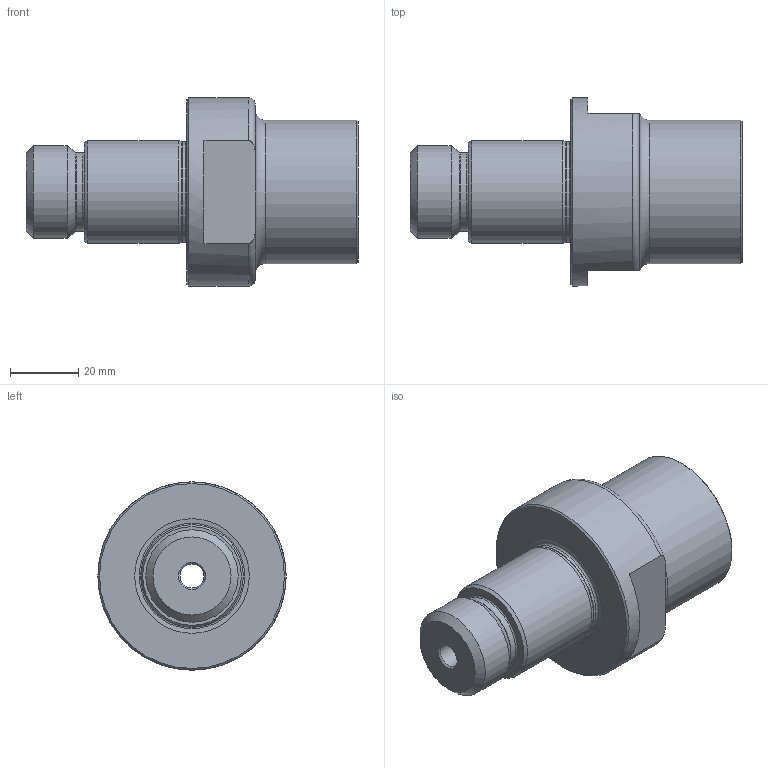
import cadquery as cq
import math

total_length = 97.0
nose_cylinder_end = 12.0
shoulder_x = 17.0
flange_face_x = 47.0
flange_back_x = 67.0

nose_diameter = 27.0
groove_diameter = 23.0
pilot_diameter = 30.0
flange_diameter = 55.0
tail_diameter = 42.0
bore_diameter = 7.0

nose_chamfer = 2.1
groove_cone_length = 2.5
groove_fillet = 0.4
pilot_chamfer_length = 1.0
pilot_chamfer_angle = math.radians(30)
flange_chamfer = 0.5
flange_back_fillet = 2.0
tail_root_fillet = 3.0
tail_chamfer = 0.5
bore_chamfer = 0.5

undercut_length = 2.5
undercut_depth = 0.3
undercut_face_depth = 0.2
undercut_fillet = 0.6
undercut_entry_angle = math.radians(15)
undercut_face_angle = math.radians(8)

flats_width = 46.0
flats_start_x = 52.0

nose_radius = nose_diameter / 2
groove_radius = groove_diameter / 2
pilot_radius = pilot_diameter / 2
flange_radius = flange_diameter / 2
tail_radius = tail_diameter / 2
bore_radius = bore_diameter / 2

arc_middle = math.sqrt(0.5)


def draw_groove_bottom(profile):
    """Draw the groove's cone, floor and the two fillets beside the floor."""
    cone_angle = math.atan2(nose_radius - groove_radius, groove_cone_length)
    floor_start = nose_cylinder_end + groove_cone_length
    center_r = groove_radius + groove_fillet
    center_x = floor_start + groove_fillet * math.tan(cone_angle / 2)
    wall_center_x = shoulder_x - groove_fillet

    def on_arc(angle):
        return (center_x - groove_fillet * math.sin(angle), center_r - groove_fillet * math.cos(angle))

    return (
        profile.lineTo(*on_arc(cone_angle))
        .threePointArc(on_arc(cone_angle / 2), on_arc(0))
        .lineTo(wall_center_x, groove_radius)
        .threePointArc(
            (wall_center_x + groove_fillet * arc_middle, center_r - groove_fillet * arc_middle),
            (shoulder_x, center_r),
        )
    )


def draw_undercut(profile):
    """Draw the undercut from the pilot surface to the flange face."""
    start_x = flange_face_x - undercut_length
    floor_radius = pilot_radius - undercut_depth
    floor_start = start_x + undercut_depth / math.tan(undercut_entry_angle)
    center_r = floor_radius + undercut_fillet
    entry_center_x = floor_start + undercut_fillet * math.tan(undercut_entry_angle / 2)
    corner_center_x = flange_face_x + undercut_face_depth - undercut_fillet

    def on_arc(center_x, angle):
        return (center_x + undercut_fillet * math.sin(angle), center_r - undercut_fillet * math.cos(angle))

    arc_end_angle = math.pi / 2 + undercut_face_angle
    arc_end_x, arc_end_r = on_arc(corner_center_x, arc_end_angle)
    face_radius = arc_end_r + (arc_end_x - flange_face_x) / math.tan(undercut_face_angle)
    return (
        profile.lineTo(start_x, pilot_radius)
        .lineTo(*on_arc(entry_center_x, -undercut_entry_angle))
        .threePointArc(
            on_arc(entry_center_x, -undercut_entry_angle / 2),
            (entry_center_x, floor_radius),
        )
        .lineTo(corner_center_x, floor_radius)
        .threePointArc(on_arc(corner_center_x, arc_end_angle / 2), (arc_end_x, arc_end_r))
        .lineTo(flange_face_x, face_radius)
    )


def make_turned_body():
    """Revolve the outer half profile about the X axis."""
    profile = (
        cq.Workplane("XY")
        .moveTo(0, 0)
        .lineTo(0, nose_radius - nose_chamfer)
        .lineTo(nose_chamfer, nose_radius)
        .lineTo(nose_cylinder_end, nose_radius)
    )
    profile = draw_groove_bottom(profile)
    pilot_chamfer_depth = pilot_chamfer_length * math.tan(pilot_chamfer_angle)
    profile = profile.lineTo(shoulder_x, pilot_radius - pilot_chamfer_depth).lineTo(
        shoulder_x + pilot_chamfer_length, pilot_radius
    )
    profile = draw_undercut(profile)

    rim_center_x = flange_back_x - flange_back_fillet
    rim_center_r = flange_radius - flange_back_fillet
    root_center_x = flange_back_x + tail_root_fillet
    root_center_r = tail_radius + tail_root_fillet
    profile = (
        profile.lineTo(flange_face_x, flange_radius - flange_chamfer)
        .lineTo(flange_face_x + flange_chamfer, flange_radius)
        .lineTo(rim_center_x, flange_radius)
        .threePointArc(
            (rim_center_x + flange_back_fillet * arc_middle, rim_center_r + flange_back_fillet * arc_middle),
            (flange_back_x, rim_center_r),
        )
        .lineTo(flange_back_x, root_center_r)
        .threePointArc(
            (root_center_x - tail_root_fillet * arc_middle, root_center_r - tail_root_fillet * arc_middle),
            (root_center_x, tail_radius),
        )
        .lineTo(total_length - tail_chamfer, tail_radius)
        .lineTo(total_length, tail_radius - tail_chamfer)
        .lineTo(total_length, 0)
        .close()
    )
    return profile.revolve(360, (0, 0, 0), (1, 0, 0))


def make_bore():
    """Through bore on the X axis, chamfered at the nose face."""
    return (
        cq.Workplane("XY")
        .moveTo(0, 0)
        .lineTo(0, bore_radius + bore_chamfer)
        .lineTo(bore_chamfer, bore_radius)
        .lineTo(total_length, bore_radius)
        .lineTo(total_length, 0)
        .close()
        .revolve(360, (0, 0, 0), (1, 0, 0))
    )


def make_flat_cutter(side):
    """Block outside one wrench flat; side is +1 for +Y and -1 for -Y."""
    cutter_depth = flange_radius
    return cq.Workplane("XY").box(
        total_length - flats_start_x, cutter_depth, flange_diameter, centered=(False, True, True)
    ).translate((flats_start_x, side * (flats_width + cutter_depth) / 2, 0))


result = make_turned_body().cut(make_bore())
for flat_side in (1, -1):
    result = result.cut(make_flat_cutter(flat_side))